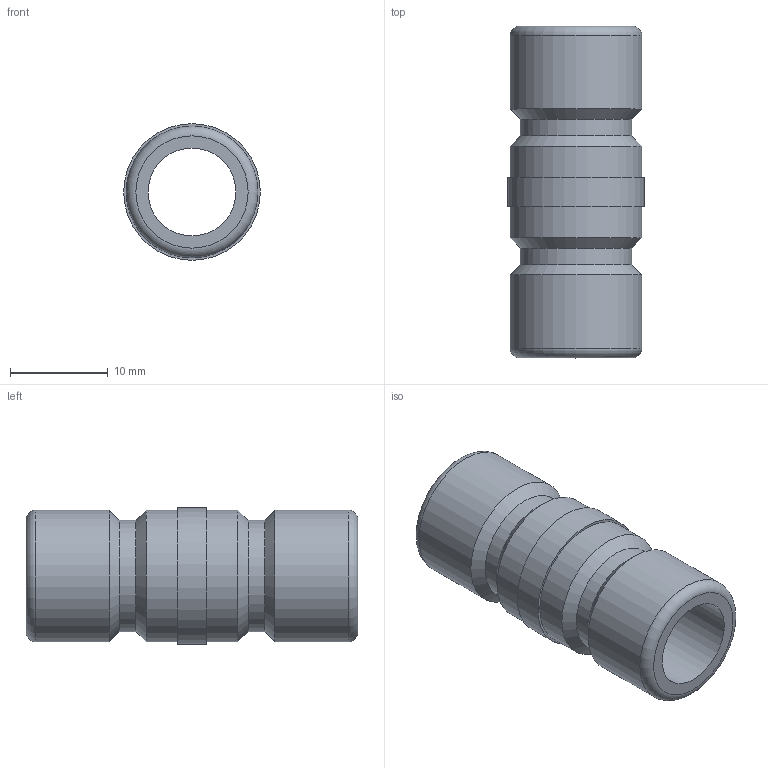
import cadquery as cq

length = 34.0
body_diameter = 13.5
collar_diameter = 14.0
collar_width = 3.0
bore_diameter = 9.0
end_fillet = 1.0
groove_diameter = 11.4
groove_floor_width = 1.7
groove_mouth_width = 3.8
groove_offset = 6.6


def cylinder(diameter, width):
    """Solid cylinder along Y, centred on the origin."""
    start_plane = cq.Workplane("XZ", origin=(0, width / 2, 0))
    return start_plane.circle(diameter / 2).extrude(width)


def groove_cutter(y_centre):
    """Ring with a trapezoidal section: flat floor and flared flanks."""
    floor_radius = groove_diameter / 2
    mouth_radius = body_diameter / 2
    half_floor = groove_floor_width / 2
    half_mouth = groove_mouth_width / 2
    section = [
        (floor_radius, y_centre - half_floor),
        (mouth_radius, y_centre - half_mouth),
        (mouth_radius, y_centre + half_mouth),
        (floor_radius, y_centre + half_floor),
    ]
    return cq.Workplane("XY").polyline(section).close().revolve(360, (0, 0, 0), (0, 1, 0))


sleeve = cylinder(body_diameter, length).edges("%CIRCLE").fillet(end_fillet)

for side in (-1, 1):
    sleeve = sleeve.cut(groove_cutter(side * groove_offset))

sleeve = sleeve.union(cylinder(collar_diameter, collar_width))
result = sleeve.cut(cylinder(bore_diameter, length))